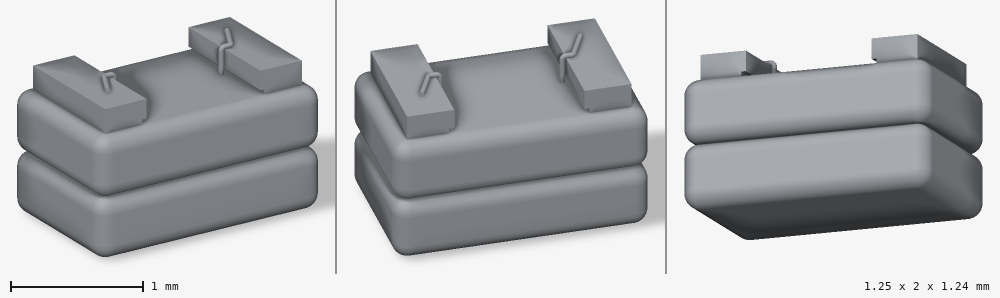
import cadquery as cq
import math

PLATE_X = 1.25
PLATE_Y = 2.0
PLATE_Z = 0.5
PLATE_ROUND = 0.12
PLATE_COUNT = 2
STACK_TOP = PLATE_COUNT * PLATE_Z

TERMINAL_X = PLATE_X - 2 * PLATE_ROUND
TERMINAL_Y = 0.37
TERMINAL_Z = 0.2
METAL = 0.04
LIP_GAP = 0.04
TERMINAL_OUTER_Y = PLATE_Y / 2 - PLATE_ROUND
TERMINAL_INNER_Y = TERMINAL_OUTER_Y - TERMINAL_Y
TERMINAL_TOP = STACK_TOP + TERMINAL_Z

BLOCK_OUTER_Y = TERMINAL_OUTER_Y - METAL
BLOCK_INNER_Y = TERMINAL_INNER_Y + METAL
BLOCK_TOP = TERMINAL_TOP - METAL

WIRE_DIAMETER = 0.04
WIRE_BEND = 0.03
WIRE_CLEARANCE = 0.01
WIRE_CORNER_Y = 0.568
WIRE_END_X = 0.252
WIRE_END_ANGLE = 26.5
WIRE_Y = TERMINAL_INNER_Y - WIRE_CLEARANCE - WIRE_DIAMETER / 2
WIRE_Z = TERMINAL_TOP + WIRE_DIAMETER / 2

END_TURNS = (0, 180)


def turned(body, angle):
    """The body turned about the vertical centre line."""
    return body.rotate((0, 0, 0), (0, 0, 1), angle)


def bar_along_x(outline):
    """A bar as long as a terminal, with the given (y, z) outline."""
    return cq.Workplane("YZ").polyline(outline).close().extrude(TERMINAL_X / 2, both=True)


def make_plate(bottom):
    return (
        cq.Workplane("XY", origin=(0, 0, bottom))
        .box(PLATE_X, PLATE_Y, PLATE_Z, centered=(True, True, False))
        .edges()
        .fillet(PLATE_ROUND)
    )


def make_block(angle):
    outline = [
        (BLOCK_INNER_Y, STACK_TOP),
        (BLOCK_OUTER_Y, STACK_TOP),
        (BLOCK_OUTER_Y, BLOCK_TOP),
        (BLOCK_INNER_Y, BLOCK_TOP),
    ]
    return turned(bar_along_x(outline), angle)


def make_terminal(angle):
    """A cap whose outer leg stands on the top plate and whose inner lip stops above it."""
    lip_bottom = STACK_TOP + LIP_GAP
    outline = [
        (TERMINAL_OUTER_Y, STACK_TOP),
        (TERMINAL_OUTER_Y, TERMINAL_TOP),
        (TERMINAL_INNER_Y, TERMINAL_TOP),
        (TERMINAL_INNER_Y, lip_bottom),
        (BLOCK_INNER_Y, lip_bottom),
        (BLOCK_INNER_Y, BLOCK_TOP),
        (BLOCK_OUTER_Y, BLOCK_TOP),
        (BLOCK_OUTER_Y, STACK_TOP),
    ]
    return turned(bar_along_x(outline), angle)


def wire_path():
    """Centre line of the wire at the +Y end."""
    end_slope = math.radians(WIRE_END_ANGLE)
    side_turn = math.pi / 2 - end_slope
    side_start_y = WIRE_CORNER_Y - WIRE_BEND * math.tan(side_turn / 2)

    def on_top_bend(turn):
        y = WIRE_Y + WIRE_BEND * (1 - math.cos(turn))
        return cq.Vector(0, y, WIRE_Z - WIRE_BEND * (1 - math.sin(turn)))

    def on_side_bend(turn):
        x = -WIRE_BEND * (1 - math.cos(turn))
        return cq.Vector(x, side_start_y + WIRE_BEND * math.sin(turn), WIRE_Z)

    foot = cq.Vector(0, WIRE_Y, STACK_TOP)
    top_bend = [on_top_bend(turn) for turn in (0, math.pi / 4, math.pi / 2)]
    side_bend = [on_side_bend(turn) for turn in (0, side_turn / 2, side_turn)]
    tip = cq.Vector(-WIRE_END_X, WIRE_CORNER_Y + WIRE_END_X * math.tan(end_slope), WIRE_Z)
    return cq.Wire.assembleEdges(
        [
            cq.Edge.makeLine(foot, top_bend[0]),
            cq.Edge.makeThreePointArc(*top_bend),
            cq.Edge.makeLine(top_bend[-1], side_bend[0]),
            cq.Edge.makeThreePointArc(*side_bend),
            cq.Edge.makeLine(side_bend[-1], tip),
        ]
    )


def make_wire(angle):
    wire = (
        cq.Workplane("XY", origin=(0, WIRE_Y, STACK_TOP))
        .circle(WIRE_DIAMETER / 2)
        .sweep(wire_path())
    )
    return turned(wire, angle)


plates = [make_plate(level * PLATE_Z).val() for level in range(PLATE_COUNT)]
blocks = [make_block(angle).val() for angle in END_TURNS]
terminals = [make_terminal(angle).val() for angle in END_TURNS]
wires = [make_wire(angle).val() for angle in END_TURNS]

result = cq.Compound.makeCompound([*plates, *blocks, *terminals, *wires])